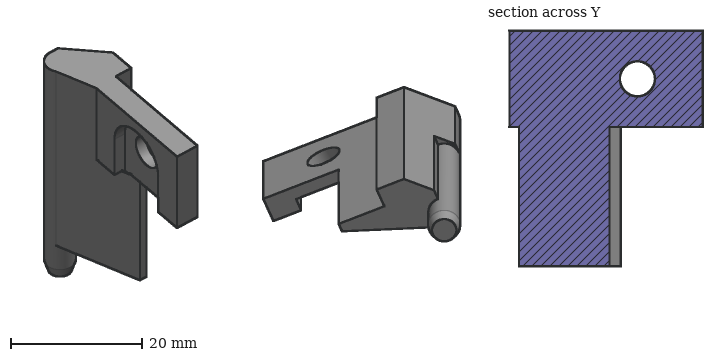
import cadquery as cq
import math


pin_diameter = 4.9
pin_radius = pin_diameter / 2
pin_length = 42.8
tip_length = 2.0
tip_diameter = 3.7

overall_width = 30.45
overall_depth = 9.95
edge_wall_top = 4.0
arm_front = 2.95
arm_thickness = 4.0
arm_back = arm_front + arm_thickness
ramp_angle = 20.0
ramp_end = 10.7
back_rib_end = 10.45

flange_height = 14.7
body_height = 35.9
plate_end = 18.0

hole_diameter = 5.3
hole_x = 20.5
hole_z = -flange_height / 2
recess_width = 10.7
recess_depth = 2.0
recess_overrun = 0.25
recess_bottom = -flange_height - recess_overrun

ramp_tilt = math.radians(ramp_angle)
ramp_slope = math.tan(ramp_tilt)


def ramp_y(x):
    """Y of the ramp surface at a given X."""
    return arm_front + (x - ramp_end) * ramp_slope


def bevel_y(x):
    """Y of the 45 degree back bevel at a given X."""
    return edge_wall_top + x


def bevel_x(y):
    """X of the 45 degree back bevel at a given Y."""
    return y - edge_wall_top


def ramp_start():
    """Point where the ramp leaves the round surface of the pin."""
    axis_to_ramp = (pin_radius - ramp_y(pin_radius)) * math.cos(ramp_tilt)
    direction = ramp_tilt - math.pi / 2 + math.acos(axis_to_ramp / pin_radius)
    return (pin_radius * (1 + math.cos(direction)), pin_radius * (1 + math.sin(direction)))


def extrude_down(points, height):
    """Prism hanging from the top face."""
    return cq.Workplane("XY").polyline(points).close().extrude(-height)


def make_pin():
    """Round pin with a tapered lower tip."""
    tip_radius = tip_diameter / 2
    half_section = [
        (0, 0),
        (pin_radius, 0),
        (pin_radius, tip_length - pin_length),
        (tip_radius, -pin_length),
        (0, -pin_length),
    ]
    pin = cq.Workplane("XZ").polyline(half_section).close().revolve(360, (0, 0), (0, 1))
    return pin.translate((pin_radius, pin_radius, 0))


def make_flange():
    """Upper part: the head around the pin and the flat screw flange."""
    return extrude_down(
        [
            (0, pin_radius),
            (0, edge_wall_top),
            (bevel_x(overall_depth), overall_depth),
            (back_rib_end, overall_depth),
            (back_rib_end, arm_back),
            (overall_width, arm_back),
            (overall_width, arm_front),
            (ramp_end, arm_front),
            ramp_start(),
            (pin_radius, pin_radius),
        ],
        flange_height,
    )


def make_plate():
    """Full-height body with the sloping front, starting at the pin axis."""
    return extrude_down(
        [
            ramp_start(),
            (pin_radius, pin_radius),
            (pin_radius, bevel_y(pin_radius)),
            (bevel_x(overall_depth), overall_depth),
            (back_rib_end, overall_depth),
            (back_rib_end, arm_back),
            (plate_end, arm_back),
            (plate_end, ramp_y(plate_end)),
        ],
        body_height,
    )


def make_recess():
    """Arched recess in the flange front, open at the bottom."""
    half_width = recess_width / 2
    return (
        cq.Workplane("XZ", origin=(0, arm_front + recess_depth, 0))
        .moveTo(hole_x - half_width, recess_bottom)
        .lineTo(hole_x - half_width, hole_z)
        .threePointArc((hole_x, hole_z + half_width), (hole_x + half_width, hole_z))
        .lineTo(hole_x + half_width, recess_bottom)
        .close()
        .extrude(recess_depth)
    )


def make_screw_hole():
    """Through hole along Y."""
    return (
        cq.Workplane("XZ", origin=(0, overall_depth, 0))
        .center(hole_x, hole_z)
        .circle(hole_diameter / 2)
        .extrude(overall_depth)
    )


body = make_flange().union(make_plate()).union(make_pin())
result = body.cut(make_recess()).cut(make_screw_hole())